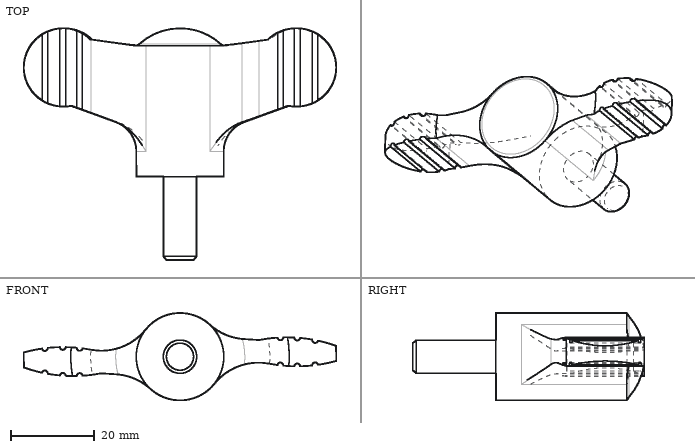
import cadquery as cq
import math


hub_radius = 10.5
shoulder_y = 31.35
dome_rim_radius = 9.75
dome_rim_y = 31.85
overall_top_y = 35.6
dome_rise = overall_top_y - dome_rim_y
dome_radius = (dome_rim_radius**2 + dome_rise**2) / (2 * dome_rise)

stud_radius = 4.0
stud_length = 20.0
stud_overlap = 10.0
stud_chamfer_length = 0.9
stud_chamfer_depth = 0.75

tip_radius = 37.5
pad_radius = 9.4
pad_center_r = tip_radius - pad_radius
pad_center_y = overall_top_y - pad_radius
neck_top_r = 21.5
neck_bottom_r = 26.2
flare_start_y = 6.1
flare_radius = 7.4
flare_angle = math.radians(71)
wing_root_r = 6.0

upper_blend_radius = 13.4
upper_contact_angle = math.radians(47.5)
flat_start_x = 14.8
flat_end_x = 18.9
flat_end_z = 4.02
upper_crest_x = 25.6
lower_blend_radius = 13.6
lower_valley_depth = 1.45
lower_join_x = 21.4
crown_radius = 35.0
profile_overrun = 1.0
profile_end_x = tip_radius + profile_overrun

groove_xs = (24.05, 28.1, 32.4)
groove_radius = 0.67


def above(center, radius, x):
    """Point at x on the upper half of a circle."""
    return (x, center[1] + math.sqrt(radius**2 - (x - center[0])**2))


def below(center, radius, x):
    """Point at x on the lower half of a circle."""
    return (x, center[1] - math.sqrt(radius**2 - (x - center[0])**2))


def polar(radius, angle):
    return (radius * math.cos(angle), radius * math.sin(angle))


def middle(start, end):
    """X halfway between two points."""
    return (start[0] + end[0]) / 2


def mirrored(point):
    return (point[0], -point[1])


def revolve_about_y(outline):
    return outline.close().revolve(360, (0, 0, 0), (0, 1, 0))


def make_hub():
    dome_center = (0, overall_top_y - dome_radius)
    outline = (
        cq.Workplane("XY")
        .moveTo(0, 0)
        .lineTo(hub_radius, 0)
        .lineTo(hub_radius, shoulder_y)
        .lineTo(dome_rim_radius, dome_rim_y)
        .threePointArc(above(dome_center, dome_radius, dome_rim_radius / 2), (0, overall_top_y))
    )
    return revolve_about_y(outline)


def make_stud():
    outline = (
        cq.Workplane("XY")
        .moveTo(0, stud_overlap)
        .lineTo(stud_radius, stud_overlap)
        .lineTo(stud_radius, stud_chamfer_length - stud_length)
        .lineTo(stud_radius - stud_chamfer_depth, -stud_length)
        .lineTo(0, -stud_length)
    )
    return revolve_about_y(outline)


def make_wing_envelope():
    """Wing outline revolved about the hub axis: round pad, tapered neck and flare into the hub."""
    pad_center = (pad_center_r, pad_center_y)
    flare_center_r = hub_radius + flare_radius

    def flare_point(angle):
        return (
            flare_center_r - flare_radius * math.cos(angle),
            flare_start_y + flare_radius * math.sin(angle),
        )

    outline = (
        cq.Workplane("XY")
        .moveTo(wing_root_r, flare_start_y)
        .lineTo(hub_radius, flare_start_y)
        .threePointArc(flare_point(flare_angle / 2), flare_point(flare_angle))
        .lineTo(*below(pad_center, pad_radius, neck_bottom_r))
        .threePointArc((tip_radius, pad_center_y), above(pad_center, pad_radius, neck_top_r))
        .lineTo(hub_radius, shoulder_y)
        .lineTo(wing_root_r, shoulder_y)
    )
    return revolve_about_y(outline)


def make_wing():
    upper_contact = polar(hub_radius, upper_contact_angle)
    upper_blend = polar(hub_radius + upper_blend_radius, upper_contact_angle)
    flat_start = below(upper_blend, upper_blend_radius, flat_start_x)
    flat_end = (flat_end_x, flat_end_z)
    crown_drop = math.sqrt(crown_radius**2 - (upper_crest_x - flat_end_x)**2)
    upper_crown = (upper_crest_x, flat_end_z - crown_drop)
    upper_end = above(upper_crown, crown_radius, profile_end_x)

    lower_reach = hub_radius + lower_blend_radius
    lower_contact_angle = math.asin((lower_valley_depth + lower_blend_radius) / lower_reach)
    lower_contact = polar(hub_radius, lower_contact_angle)
    lower_blend = polar(lower_reach, lower_contact_angle)
    lower_join = below(lower_blend, lower_blend_radius, lower_join_x)
    crown_ratio = crown_radius / lower_blend_radius
    lower_crown = (
        lower_join[0] + (lower_join[0] - lower_blend[0]) * crown_ratio,
        lower_join[1] + (lower_join[1] - lower_blend[1]) * crown_ratio,
    )
    lower_end = above(lower_crown, crown_radius, profile_end_x)

    upper_blend_mid = below(upper_blend, upper_blend_radius, middle(upper_contact, flat_start))
    upper_crown_mid = above(upper_crown, crown_radius, middle(flat_end, upper_end))
    lower_crown_mid = above(lower_crown, crown_radius, middle(lower_join, lower_end))
    lower_blend_mid = below(lower_blend, lower_blend_radius, middle(lower_contact, lower_join))

    slab = (
        cq.Workplane("XZ")
        .moveTo(*upper_contact)
        .threePointArc(upper_blend_mid, flat_start)
        .lineTo(*flat_end)
        .threePointArc(upper_crown_mid, upper_end)
        .lineTo(*mirrored(lower_end))
        .threePointArc(mirrored(lower_crown_mid), mirrored(lower_join))
        .threePointArc(mirrored(lower_blend_mid), mirrored(lower_contact))
        .close()
        .extrude(-overall_top_y)
    )

    groove_centers = []
    for x in groove_xs:
        groove_centers.append(above(upper_crown, crown_radius, x))
        groove_centers.append(mirrored(above(lower_crown, crown_radius, x)))
    grooves = (
        cq.Workplane("XZ")
        .pushPoints(groove_centers)
        .circle(groove_radius)
        .extrude(-overall_top_y)
    )
    return make_wing_envelope().intersect(slab.cut(grooves))


wing = make_wing()
opposite_wing = wing.rotate((0, 0, 0), (0, 1, 0), 180)

result = make_hub().union(make_stud()).union(wing).union(opposite_wing)